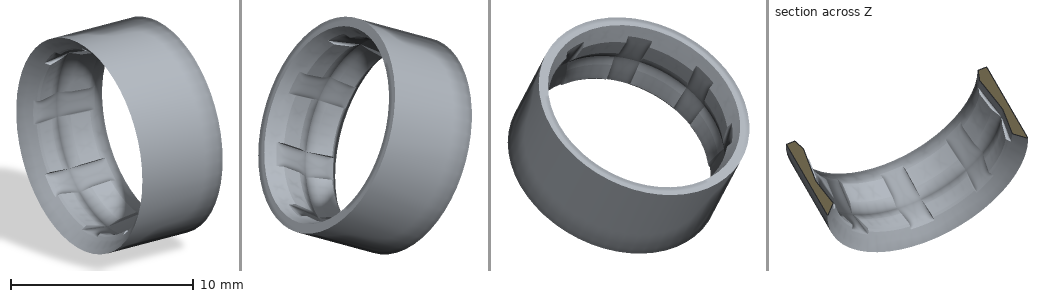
import cadquery as cq

outer_radius = 6.1
width = 5.35
front_y = -width / 2
rear_y = width / 2

rear_mouth_radius = 5.56
rear_mouth_slope = 0.33

slot_front_radius = 5.43
slot_rear_radius = 5.34
rib_front_radius = 5.31
rib_rear_radius = 5.21

groove_radius = 5.66
groove_y = -0.27

lip_radius = 5.22
lip_y = -1.75
front_bend_radius = 5.47
front_bend_y = -0.78
rear_bend_radius = 5.37
rear_bend_y = 0.4

slot_count = 8
slot_angle = 15.0


def front_mouth_y(radius):
    """Axial place where the front 45 degree mouth has the given radius."""
    return front_y + (outer_radius - radius)


def rear_mouth_y(radius):
    """Axial place where the rear mouth has the given radius."""
    return rear_y - (rear_mouth_radius - radius) / rear_mouth_slope


def ring_section(bore_points):
    """Half section of the ring, closed by the rear end face and the outer wall."""
    rims = [(rear_mouth_radius, rear_y), (outer_radius, rear_y), (outer_radius, front_y)]
    return cq.Workplane("XY").polyline(rims + bore_points).close()


def revolve_about_y(section, angle=360.0):
    return section.revolve(angle, (0, 0, 0), (0, 1, 0))


rib_points = [
    (rib_front_radius, front_mouth_y(rib_front_radius)),
    (lip_radius, lip_y),
    (front_bend_radius, front_bend_y),
    (groove_radius, groove_y),
    (rear_bend_radius, rear_bend_y),
    (rib_rear_radius, rear_mouth_y(rib_rear_radius)),
]
ribbed_ring = revolve_about_y(ring_section(rib_points))

slot_front_y = front_mouth_y(slot_front_radius)
slot_rear_y = rear_mouth_y(slot_rear_radius)
slot_section = (
    cq.Workplane("XY")
    .moveTo(0, slot_front_y)
    .lineTo(slot_front_radius, slot_front_y)
    .lineTo(groove_radius, groove_y)
    .lineTo(slot_rear_radius, slot_rear_y)
    .lineTo(0, slot_rear_y)
    .close()
)
slot_cutter = revolve_about_y(slot_section, slot_angle).rotate((0, 0, 0), (0, 1, 0), -slot_angle / 2)

result = ribbed_ring
for index in range(slot_count):
    result = result.cut(slot_cutter.rotate((0, 0, 0), (0, 1, 0), index * 360 / slot_count))